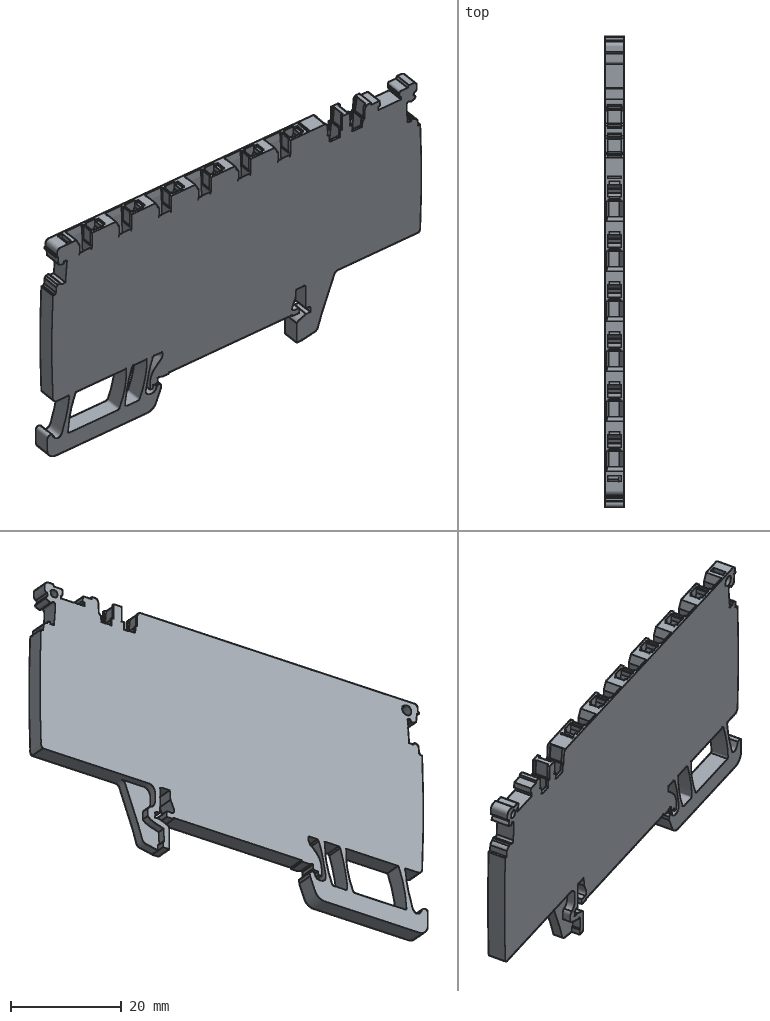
import cadquery as cq


THICKNESS = 3.5
LENGTH = 85.09
HEIGHT = 46.8

Y_MAX = LENGTH / 2
Y_MIN = -LENGTH / 2
BODY_BOTTOM = 12.3
SHOULDER = 36.65
BODY_MID = (BODY_BOTTOM + SHOULDER) / 2
BODY_END_Y = -41.55
EDGE_BOW = 0.25
OVERLAP = 1.0

EAR_SEAT_Z = 44.4
LEDGE_Z = 46.35
SEAT_STEP_Z = 43.8
SEAT_FLOOR_Z = 42.3
GROOVE_FLOOR_Z = 40.0
SEAT_GROOVES = [
    ((30.2, 29.75, 29.4, 29.15), (25.95, 26.2, 26.55, 26.8)),
    ((25.0, 24.7, 24.35, 23.95), (20.7, 21.0, 21.35, 21.7)),
]
POST_Y = 25.45
POST_WIDTH = 1.75
POST_BASE_WIDTH = 2.75

POCKET_WALL = 0.5
POCKET_WIDTH = THICKNESS - 2 * POCKET_WALL

TERMINAL_COUNT = 6
TERMINAL_PITCH = 9.03
FIRST_NOTCH_Y = 12.75

NOTCH_FLOOR_LENGTH = 2.8
NOTCH_TOP_LENGTH = 3.6
NOTCH_DEPTH = 6.0
NOTCH_RAMP_DEPTH = 1.5
NOTCH_OPEN_DEPTH = 3.2
NOTCH_TOP_WALL = 0.3
NOTCH_KNEE_DEPTH = 1.5
NOTCH_KNEE_WALL = 0.5
NOTCH_FLOOR_X = (0.7, 2.6)
FUNNEL_X = (0.65, 2.9)
FUNNEL_SETBACK = 0.25

POCKET_GAP = 0.75
POCKET_LENGTH = 2.2
POCKET_DEPTH = 3.0
POCKET_FLOOR = 0.9
FLANK_DEPTH = 1.5
SLOT_WIDTH = 0.4
SLOT_DEPTH = 0.8
LIP_LENGTH = 0.6
END_LIP_LENGTH = 0.3
LIP_WIDTH = 1.9
LIP_DEPTH = 0.5

SLIT_DEPTH = 1.0
FIRST_SLIT_Y = 17.05
FIRST_SLIT_LENGTH = 0.4
LAST_SLIT_Y = -37.35
LAST_SLIT_LENGTH = 1.0

HOLES = [(39.45, 44.9, 0.77), (-37.9, 44.9, 1.0)]
HOLE_DEPTH = 2.5

LATCH_WEB_RECESS = 1.6


def arc(middle, end):
    """A path step that follows an arc through middle to end."""
    return middle, end


def plate(steps, x_start=0.0, width=THICKNESS):
    """Extrude a closed path of points and arc steps along X."""
    path = cq.Workplane("YZ", origin=(x_start, 0, 0)).moveTo(*steps[0])
    for step in steps[1:]:
        if isinstance(step[0], tuple):
            path = path.threePointArc(*step)
        else:
            path = path.lineTo(*step)
    return path.close().extrude(width)


def box(x_mid, x_width, y_mid, y_length, depth):
    """A block that reaches down by depth from the top edge."""
    return cq.Workplane("XY").box(x_width, y_length, depth).translate((x_mid, y_mid, HEIGHT - depth / 2))


def body():
    plus_ear = [
        (Y_MAX - EDGE_BOW, SHOULDER), (41.8, SHOULDER), (41.7, 37.9),
        arc((41.4, 38.25), (40.9, 38.45)), (40.7, 38.8), (40.3, 38.8), (40.2, 38.4),
        (39.7, 38.4), arc((39.45, 38.5), (39.4, 38.8)), (39.2, 41.5), (39.2, 42.7),
        arc((39.35, 43.0), (39.7, 43.1)), (40.2, 42.8), (40.9, 43.1), (41.25, 43.4),
        (41.1, 43.7), (40.8, 44.1), (40.95, 44.6), arc((41.35, 44.8), (41.5, 45.2)),
        (41.5, 46.0), arc((41.2, 46.6), (40.6, HEIGHT)), (39.7, HEIGHT), (39.4, LEDGE_Z),
        (38.0, LEDGE_Z), arc((37.65, 46.2), (37.5, 45.9)), (37.6, 45.1), (37.9, 44.9),
        (37.9, EAR_SEAT_Z),
    ]
    label_wall = [
        (32.75, EAR_SEAT_Z), (32.75, 45.1), (33.2, 45.3), (33.0, LEDGE_Z), (31.15, LEDGE_Z),
        (31.1, HEIGHT), (30.4, HEIGHT), arc((29.9, 46.5), (29.7, 46.0)), (29.6, SEAT_STEP_Z + 0.2),
        (29.15, 43.5), (29.05, SEAT_FLOOR_Z),
    ]
    post = [
        (POST_Y + POST_BASE_WIDTH / 2, SEAT_FLOOR_Z), (POST_Y + POST_BASE_WIDTH / 2, SEAT_STEP_Z),
        (POST_Y + POST_WIDTH / 2, SEAT_STEP_Z), (POST_Y + POST_WIDTH / 2, HEIGHT),
        (POST_Y - POST_WIDTH / 2, HEIGHT), (POST_Y - POST_WIDTH / 2, SEAT_STEP_Z),
        (POST_Y - POST_BASE_WIDTH / 2, SEAT_STEP_Z), (POST_Y - POST_BASE_WIDTH / 2, SEAT_FLOOR_Z),
    ]
    terminal_start = [
        (22.0, SEAT_FLOOR_Z), arc((21.7, 42.4), (21.6, 42.7)), (21.5, SEAT_STEP_Z),
        (21.25, SEAT_STEP_Z + 0.1), (21.15, 45.9), arc((21.0, 46.5), (20.6, HEIGHT)),
    ]
    minus_ear = [
        (-39.6, HEIGHT), arc((-40.1, 46.55), (-40.35, 46.1)), (-40.35, 45.4), (-40.6, 45.2),
        (-40.6, 45.0), (-40.15, 44.9), (-40.0, 43.3), arc((-39.9, 43.05), (-39.6, 42.9)),
        (-38.9, 42.8), (-38.7, 43.2), arc((-38.3, 43.25), (-38.1, 42.8)),
        (-38.45, 38.35), (-39.4, 38.35), (-39.6, 38.75), (-40.2, 38.6),
        (-40.55, 38.2), (-40.6, 37.0), (-40.9, SHOULDER), (BODY_END_Y + EDGE_BOW, SHOULDER),
    ]
    lower_edge = [
        arc((BODY_END_Y, BODY_MID), (BODY_END_Y + EDGE_BOW, 13.25)),
        arc((-41.05, 12.6), (-40.4, BODY_BOTTOM)), (41.9, BODY_BOTTOM),
        arc((42.2, 12.7), (Y_MAX - EDGE_BOW, 13.5)),
        arc((Y_MAX, BODY_MID), (Y_MAX - EDGE_BOW, SHOULDER)),
    ]
    return plate(plus_ear + label_wall + post + terminal_start + minus_ear + lower_edge)


def rail_skirt():
    """Middle part that rests on the rail, with a lip at +Y and a hooked nose at -Y."""
    rest_z = 6.9
    lip_z = 6.65
    return plate([
        (14.1, BODY_BOTTOM + OVERLAP), (14.1, BODY_BOTTOM), (14.0, 12.0), (13.9, 10.4),
        (13.2, 8.8), arc((13.1, 8.3), (13.5, 7.8)), (14.7, 7.8), (14.7, lip_z), (13.2, lip_z),
        (13.2, rest_z), (-14.8, rest_z), (-15.0, lip_z), (-16.3, lip_z), (-17.1, rest_z),
        (-17.4, 6.8), (-17.4, 6.0), (-17.6, 5.7), (-18.5, 5.7), (-18.55, 5.0), (-19.2, 5.0),
        (-19.2, 6.6), arc((-18.8, 8.3), (-17.9, 9.6)), (-16.8, 10.7),
        arc((-16.35, 11.4), (-16.5, BODY_BOTTOM)), (-16.5, BODY_BOTTOM + OVERLAP),
    ])


def latch():
    """S-shaped snap arm of full thickness, backed by a web below the -X face."""
    claw_y = 14.15
    claw_bottom = 0.15
    arm_y = 16.2
    inner_curve = [
        (18.5, BODY_BOTTOM), arc((17.6, 11.7), (17.3, 10.4)), (17.3, 9.0),
        arc((17.6, 8.1), (18.4, 7.6)), arc((18.75, 7.25), (18.9, 6.8)), (18.9, 5.5),
        (18.3, 5.0), (17.4, 4.6), (15.4, 4.0), (15.3, 1.4), (15.55, 1.3), (15.55, claw_bottom),
    ]
    arm = plate([(18.5, BODY_BOTTOM + OVERLAP)] + inner_curve + [
        (claw_y, claw_bottom), (claw_y, 4.6), arc((14.6, 5.0), (15.1, 5.2)), (16.3, 5.7), (17.3, 5.7),
        (17.3, 6.6), arc((17.15, 6.85), (16.8, 7.0)), (arm_y, 7.0), (arm_y, 12.0),
        arc((16.1, 12.2), (15.9, BODY_BOTTOM)), (15.9, BODY_BOTTOM + OVERLAP),
    ])
    web = plate([
        (23.5, BODY_BOTTOM + OVERLAP), (23.5, BODY_BOTTOM), arc((23.0, 12.1), (22.7, 11.6)),
        (19.9, 4.2), (19.1, 1.7), arc((18.7, 0.95), (17.9, 0.65)), (15.55, 0.2),
        (14.7, 0.2), (14.7, 4.5), (17.0, 5.2), (17.8, 6.4), (16.6, 9.0), (16.6, BODY_BOTTOM + OVERLAP),
    ], LATCH_WEB_RECESS, THICKNESS - LATCH_WEB_RECESS)
    return arm.union(web)


def foot():
    """Rail foot hung from the body on three slanted, slightly curved spring legs."""
    outline = plate([
        (-18.3, BODY_BOTTOM + OVERLAP), (-18.3, BODY_BOTTOM), (-18.6, 12.0),
        arc((-19.3, 9.7), (-19.8, 7.2)), (-20.15, 5.4), arc((-19.9, 4.4), (-18.9, 4.0)),
        arc((-18.1, 4.3), (-17.7, 5.2)), (-17.1, 5.4), (-16.65, 5.0), (-16.7, 4.2), (-17.9, 1.2),
        arc((-18.7, 0.35), (-19.9, 0)), (-40.7, 0), arc((-41.9, 0.5), (Y_MIN, 1.9)),
        (Y_MIN, 4.8), arc((-42.0, 5.3), (-41.4, 5.1)), (-40.9, 4.2), arc((-40.2, 3.8), (-39.5, 4.1)),
        arc((-39.2, 4.6), (-39.0, 5.3)), arc((-38.1, 8.6), (-37.55, 12.0)),
        (-37.7, BODY_BOTTOM), (-37.7, BODY_BOTTOM + OVERLAP),
    ])
    window_floor = 3.8
    narrow_window = plate([
        (-19.9, BODY_BOTTOM), (-23.0, BODY_BOTTOM), (-23.3, 12.0), arc((-24.2, 8.7), (-24.8, 5.2)),
        (-24.8, 4.1), arc((-24.7, 3.9), (-24.5, window_floor)), (-22.0, window_floor),
        arc((-21.7, 3.9), (-21.5, 4.2)), arc((-20.3, 8.2), (-19.9, BODY_BOTTOM)),
    ])
    wide_window = plate([
        (-24.6, BODY_BOTTOM), (-36.0, BODY_BOTTOM), (-36.2, 12.0), arc((-37.3, 8.3), (-37.85, 4.2)),
        arc((-37.8, 3.95), (-37.6, window_floor)), (-26.7, window_floor),
        arc((-26.3, 3.9), (-26.1, 4.2)), arc((-24.9, 8.2), (-24.6, BODY_BOTTOM)),
    ])
    return outline.cut(narrow_window).cut(wide_window)


def seat_groove(plus_side, minus_side):
    """Stepped groove that widens and deepens a label seat between its outer walls."""
    levels = [HEIGHT, SEAT_STEP_Z, SEAT_STEP_Z, GROOVE_FLOOR_Z]
    down = list(zip(plus_side, levels))
    up = list(zip(minus_side, levels))[::-1]
    return plate(down + up, POCKET_WALL, POCKET_WIDTH)


def wire_notch(y_start):
    """Notch with steep sides, open to +X at the top and ramped at its -Y end."""
    floor_z = HEIGHT - NOTCH_DEPTH
    floor_near, floor_far = NOTCH_FLOOR_X
    section = (
        cq.Workplane("XZ", origin=(0, y_start, 0))
        .polyline([
            (NOTCH_TOP_WALL, HEIGHT), (NOTCH_KNEE_WALL, HEIGHT - NOTCH_KNEE_DEPTH),
            (floor_near, floor_z), (floor_far, floor_z),
            (THICKNESS, HEIGHT - NOTCH_OPEN_DEPTH), (THICKNESS, HEIGHT),
        ])
        .close()
        .extrude(NOTCH_TOP_LENGTH)
    )
    y_floor_end = y_start - NOTCH_FLOOR_LENGTH
    lengthwise = plate([
        (y_start, HEIGHT), (y_start, floor_z), (y_floor_end, floor_z),
        (y_floor_end, HEIGHT - NOTCH_RAMP_DEPTH), (y_start - NOTCH_TOP_LENGTH, HEIGHT),
    ])
    funnel_near, funnel_far = FUNNEL_X
    funnel = box(
        (funnel_near + funnel_far) / 2, funnel_far - funnel_near,
        y_start, 2 * FUNNEL_SETBACK, NOTCH_OPEN_DEPTH,
    )
    return section.intersect(lengthwise).union(funnel)


def release_pocket(y_end):
    """Pocket with sloping flanks, a driver slot in its floor and a shallow lip at both ends."""
    y_start = y_end + POCKET_LENGTH
    y_mid = y_end + POCKET_LENGTH / 2
    flank_z = HEIGHT - FLANK_DEPTH
    floor_z = HEIGHT - POCKET_DEPTH
    slot_z = floor_z - SLOT_DEPTH
    pocket = plate([
        (y_start, HEIGHT), (y_start, flank_z), (y_mid + POCKET_FLOOR / 2, floor_z),
        (y_mid + SLOT_WIDTH / 2, floor_z), (y_mid + SLOT_WIDTH / 2, slot_z),
        (y_mid - SLOT_WIDTH / 2, slot_z), (y_mid - SLOT_WIDTH / 2, floor_z),
        (y_mid - POCKET_FLOOR / 2, floor_z), (y_end, flank_z), (y_end, HEIGHT),
    ], POCKET_WALL, POCKET_WIDTH)
    plus_lip = box(THICKNESS / 2, LIP_WIDTH, y_start + LIP_LENGTH / 2, LIP_LENGTH, LIP_DEPTH)
    minus_lip = box(THICKNESS / 2, LIP_WIDTH, y_end - END_LIP_LENGTH / 2, END_LIP_LENGTH, LIP_DEPTH)
    return pocket.union(plus_lip).union(minus_lip)


def slit(y_mid, length):
    return box(THICKNESS / 2, POCKET_WIDTH, y_mid, length, SLIT_DEPTH)


def blind_hole(y, z, radius):
    return cq.Workplane("YZ").center(y, z).circle(radius).extrude(HOLE_DEPTH)


result = body().union(rail_skirt()).union(latch()).union(foot())

for plus_side, minus_side in SEAT_GROOVES:
    result = result.cut(seat_groove(plus_side, minus_side))

for terminal in range(TERMINAL_COUNT):
    notch_y = FIRST_NOTCH_Y - terminal * TERMINAL_PITCH
    result = result.cut(wire_notch(notch_y))
    result = result.cut(release_pocket(notch_y + POCKET_GAP))

result = result.cut(slit(FIRST_SLIT_Y, FIRST_SLIT_LENGTH))
result = result.cut(slit(LAST_SLIT_Y, LAST_SLIT_LENGTH))

for hole_y, hole_z, hole_radius in HOLES:
    result = result.cut(blind_hole(hole_y, hole_z, hole_radius))